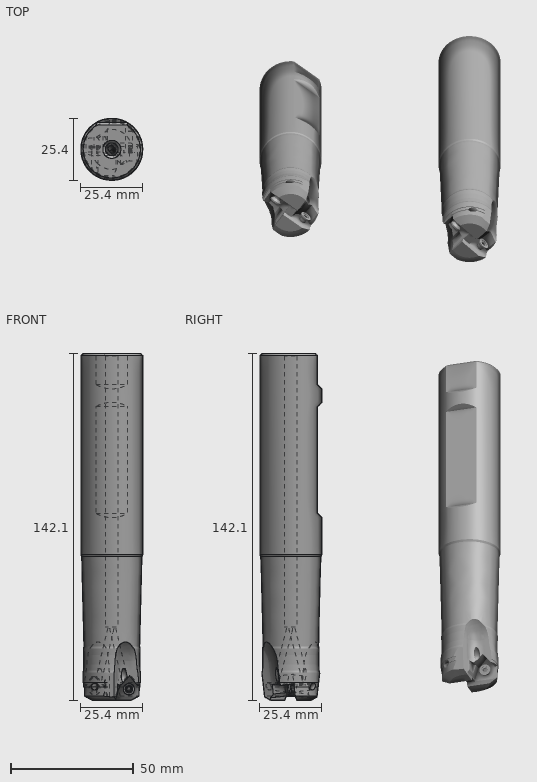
import cadquery as cq
import math

TOTAL_LENGTH = 142.07
SHANK_RADIUS = 12.7
SHANK_CHAMFER = 1.0
SHANK_BOTTOM_Z = 59.7

FLAT_Y = 10.9
FLAT_DEPTH = SHANK_RADIUS - FLAT_Y
TOP_FLAT_BOTTOM_Z = 129.3
LONG_FLAT_TOP_Z = 120.2
LONG_FLAT_BOTTOM_Z = 76.6

NECK_TOP_RADIUS = 12.35
NECK_TOP_Z = 58.85
NECK_BOTTOM_RADIUS = 11.42
NECK_BOTTOM_Z = 22.0
COLLAR_RADIUS = 11.65
COLLAR_TOP_Z = 21.1
WAIST_RADIUS = 11.5
WAIST_TOP_Z = 18.5
WAIST_BOTTOM_Z = 14.6
LOWER_COLLAR_Z = 12.1
HEAD_RADIUS = 11.85
HEAD_TOP_Z = 11.25
HEAD_BOTTOM_Z = 7.4
BAND_RADIUS = 11.6
BAND_BOTTOM_Z = 5.5
TIP_RADIUS = 11.35
END_BEVEL_Z = 1.8
END_FACE_RADIUS = 8.2

BORE_RADIUS = 2.6
BORE_BOTTOM_Z = 30.0
BORE_MOUTH_RADIUS = 3.7
COOLANT_RADIUS = 1.25
COOLANT_START = cq.Vector(0, 0, 31.0)
COOLANT_EXIT = cq.Vector(5.6, -6.2, 7.5)

FLUTE_COUNT = 2
SEAT_TILT = 6.5
SEAT_CENTRE_X = 7.0
SEAT_CENTRE_Z = 4.7
SEAT_Y = 1.5
SHARP_CORNER_RADIUS = 5.9
BLUNT_CORNER_RADIUS = 4.0
FIRST_CORNER_ANGLE = 87.0

SCREW_RADIUS = 1.4
SCREW_HEAD_RADIUS = 2.3
SCREW_HEAD_TOP_Y = -1.3
SCREW_RIM_HEIGHT = 0.6
SCREW_CONE_HEIGHT = SCREW_HEAD_RADIUS - SCREW_RADIUS
SCREW_DEPTH_IN_BODY = 6.0
DISH_RADIUS = 1.5
DISH_DEPTH = 0.3
SOCKET_RADIUS = 0.85
SOCKET_LOBE_RADIUS = 0.3
SOCKET_LOBES = 6
SOCKET_DEPTH = 1.2

FLUTE_WALL_OUTER_X = 0.2
FLUTE_WALL_INNER_X = 2.1
FLUTE_WALL_INNER_Y = -7.7
FLUTE_FLOOR_X = 8.2
FLUTE_FLOOR_Y = -4.2
FLUTE_CORNER_X = 5.1
FLUTE_CORNER_Y = -4.8
FLUTE_STRAIGHT_TOP_Z = 16.6
FLUTE_RUNOUT_RADIUS = 12.8
FLUTE_OUTER_Y = -13.2
LEDGE_Y = -2.3
POCKET_INNER_X = 2.3
POCKET_INNER_TOP_Z = 7.4
POCKET_OUTER_TOP_Z = 7.2
RELIEF_Y = -11.05
CLEAR = 15.0

END_SLOT_DEPTH = 1.6
END_SLOT_TOP_HALF_WIDTH = 1.85
END_SLOT_BOTTOM_HALF_WIDTH = 2.5


def tilt(shape):
    """Lean a shape about the X direction through the seat centre height."""
    return shape.rotate((0, 0, SEAT_CENTRE_Z), (1, 0, SEAT_CENTRE_Z), SEAT_TILT)


def around_axis(shape, index):
    return shape.rotate((0, 0, 0), (0, 0, 1), index * 360.0 / FLUTE_COUNT)


def facing_front(y):
    """Plane at the given Y that looks toward -Y; local axes are X and Z."""
    return cq.Workplane("XZ", origin=(0, y, 0))


def make_blank():
    profile = [
        (0, 0),
        (END_FACE_RADIUS, 0),
        (TIP_RADIUS, END_BEVEL_Z),
        (TIP_RADIUS, BAND_BOTTOM_Z),
        (BAND_RADIUS, BAND_BOTTOM_Z),
        (BAND_RADIUS, HEAD_BOTTOM_Z),
        (HEAD_RADIUS, HEAD_BOTTOM_Z),
        (HEAD_RADIUS, HEAD_TOP_Z),
        (COLLAR_RADIUS, LOWER_COLLAR_Z),
        (WAIST_RADIUS, WAIST_BOTTOM_Z),
        (WAIST_RADIUS, WAIST_TOP_Z),
        (COLLAR_RADIUS, COLLAR_TOP_Z),
        (NECK_BOTTOM_RADIUS, NECK_BOTTOM_Z),
        (NECK_TOP_RADIUS, NECK_TOP_Z),
        (SHANK_RADIUS, SHANK_BOTTOM_Z),
        (SHANK_RADIUS, TOTAL_LENGTH - SHANK_CHAMFER),
        (SHANK_RADIUS - SHANK_CHAMFER, TOTAL_LENGTH),
        (0, TOTAL_LENGTH),
    ]
    return cq.Workplane("XZ").polyline(profile).close().revolve(360, (0, 0), (0, 1))


def make_flats():
    """Two flats with 45 degree ends; the upper one runs off the chamfered shank top."""
    top_flat = [
        (FLAT_Y, TOP_FLAT_BOTTOM_Z),
        (SHANK_RADIUS, TOP_FLAT_BOTTOM_Z - FLAT_DEPTH),
        (SHANK_RADIUS, TOTAL_LENGTH),
        (FLAT_Y - SHANK_CHAMFER, TOTAL_LENGTH),
        (FLAT_Y, TOTAL_LENGTH - SHANK_CHAMFER),
    ]
    long_flat = [
        (FLAT_Y, LONG_FLAT_BOTTOM_Z),
        (SHANK_RADIUS, LONG_FLAT_BOTTOM_Z - FLAT_DEPTH),
        (SHANK_RADIUS, LONG_FLAT_TOP_Z + FLAT_DEPTH),
        (FLAT_Y, LONG_FLAT_TOP_Z),
    ]
    flats = cq.Workplane("YZ")
    for outline in (top_flat, long_flat):
        flats = flats.add(cq.Workplane("YZ").polyline(outline).close().extrude(CLEAR, both=True))
    return flats.combine()


def make_bore():
    mouth_depth = BORE_MOUTH_RADIUS - BORE_RADIUS
    profile = [
        (0, BORE_BOTTOM_Z),
        (BORE_RADIUS, BORE_BOTTOM_Z),
        (BORE_RADIUS, TOTAL_LENGTH - mouth_depth),
        (BORE_MOUTH_RADIUS, TOTAL_LENGTH),
        (0, TOTAL_LENGTH),
    ]
    return cq.Workplane("XZ").polyline(profile).close().revolve(360, (0, 0), (0, 1))


def make_coolant_branch():
    path = COOLANT_EXIT - COOLANT_START
    return cq.Workplane(cq.Solid.makeCylinder(COOLANT_RADIUS, path.Length, COOLANT_START, path))


def make_end_slot():
    outline = [
        (-END_SLOT_BOTTOM_HALF_WIDTH, 0),
        (END_SLOT_BOTTOM_HALF_WIDTH, 0),
        (END_SLOT_TOP_HALF_WIDTH, END_SLOT_DEPTH),
        (-END_SLOT_TOP_HALF_WIDTH, END_SLOT_DEPTH),
    ]
    return cq.Workplane("YZ").polyline(outline).close().extrude(CLEAR, both=True)


def flute_section(z):
    """Flute cross-section: side wall, rounded corner and flat floor open toward -Y."""
    return (
        cq.Workplane("XY", origin=(0, 0, z))
        .moveTo(FLUTE_WALL_OUTER_X, FLUTE_OUTER_Y)
        .lineTo(FLUTE_WALL_INNER_X, FLUTE_WALL_INNER_Y)
        .threePointArc((FLUTE_CORNER_X, FLUTE_CORNER_Y), (FLUTE_FLOOR_X, FLUTE_FLOOR_Y))
        .lineTo(CLEAR, FLUTE_FLOOR_Y)
        .lineTo(CLEAR, FLUTE_OUTER_Y)
        .close()
    )


def make_flute():
    """Straight flute whose floor sweeps out of the neck along an arc at its top."""
    straight = flute_section(-CLEAR).extrude(CLEAR + FLUTE_STRAIGHT_TOP_Z)
    pivot_y = FLUTE_FLOOR_Y - FLUTE_RUNOUT_RADIUS
    runout = flute_section(FLUTE_STRAIGHT_TOP_Z).revolve(90, (0, pivot_y), (1, pivot_y))
    return tilt(straight.union(runout))


def make_relief():
    """Flat relief beside the flute that runs out upward because of the tilt."""
    return tilt(
        facing_front(RELIEF_Y)
        .moveTo(-CLEAR, -CLEAR)
        .lineTo(FLUTE_WALL_INNER_X, -CLEAR)
        .lineTo(FLUTE_WALL_INNER_X, FLUTE_STRAIGHT_TOP_Z)
        .lineTo(-CLEAR, FLUTE_STRAIGHT_TOP_Z)
        .close()
        .extrude(CLEAR)
    )


def seat_corners():
    corners = []
    for step in range(6):
        radius = BLUNT_CORNER_RADIUS if step % 2 else SHARP_CORNER_RADIUS
        angle = math.radians(FIRST_CORNER_ANGLE + 60.0 * step)
        x = SEAT_CENTRE_X + radius * math.cos(angle)
        z = SEAT_CENTRE_Z + radius * math.sin(angle)
        corners.append((x, z))
    return corners


def pocket_prism(base_y, inner_corners):
    """Cut from base_y toward -Y, open downward and outward, bounded by the given inner corners."""
    outline = [
        *inner_corners,
        (inner_corners[-1][0], -CLEAR),
        (CLEAR, -CLEAR),
        (CLEAR, POCKET_OUTER_TOP_Z),
    ]
    return facing_front(base_y).polyline(outline).close().extrude(CLEAR)


def make_pocket():
    """Three-sided seat, a wider clearance in front of it, and the screw hole."""
    top, upper_left, lower_left, _, _, upper_right = seat_corners()
    seat = pocket_prism(SEAT_Y, [upper_right, top, upper_left, lower_left])
    clearance_inner_top = (POCKET_INNER_X, POCKET_INNER_TOP_Z)
    clearance = pocket_prism(LEDGE_Y, [upper_right, top, upper_left, clearance_inner_top])
    hole = (
        facing_front(SEAT_Y)
        .center(SEAT_CENTRE_X, SEAT_CENTRE_Z)
        .circle(SCREW_RADIUS)
        .extrude(-CLEAR)
    )
    return tilt(seat.union(clearance).union(hole))


def make_body():
    body = make_blank().cut(make_flats()).cut(make_bore()).cut(make_end_slot())
    for index in range(FLUTE_COUNT):
        for cutter in (make_flute(), make_relief(), make_pocket(), make_coolant_branch()):
            body = body.cut(around_axis(cutter, index))
    return body


def make_screw():
    """Screw with a straight shank, conical head, dished top and lobed socket."""
    rim_bottom_y = SCREW_HEAD_TOP_Y + SCREW_RIM_HEIGHT
    tip_y = SEAT_Y + SCREW_DEPTH_IN_BODY
    profile = [
        (0, SCREW_HEAD_TOP_Y + DISH_DEPTH),
        (DISH_RADIUS, SCREW_HEAD_TOP_Y + DISH_DEPTH),
        (DISH_RADIUS, SCREW_HEAD_TOP_Y),
        (SCREW_HEAD_RADIUS, SCREW_HEAD_TOP_Y),
        (SCREW_HEAD_RADIUS, rim_bottom_y),
        (SCREW_RADIUS, rim_bottom_y + SCREW_CONE_HEIGHT),
        (SCREW_RADIUS, tip_y),
        (0, tip_y),
    ]
    plane = cq.Workplane("XY", origin=(SEAT_CENTRE_X, 0, SEAT_CENTRE_Z))
    screw = plane.polyline(profile).close().revolve(360, (0, 0), (0, 1))
    face = facing_front(SCREW_HEAD_TOP_Y).center(SEAT_CENTRE_X, SEAT_CENTRE_Z)
    socket = face.circle(SOCKET_RADIUS).extrude(-SOCKET_DEPTH)
    lobes = (
        face.polarArray(SOCKET_RADIUS, 0, 360, SOCKET_LOBES)
        .circle(SOCKET_LOBE_RADIUS)
        .extrude(-SOCKET_DEPTH)
    )
    return tilt(screw.cut(socket).cut(lobes))


body = make_body()
screws = [around_axis(make_screw(), index).val() for index in range(FLUTE_COUNT)]
result = cq.Compound.makeCompound([body.val(), *screws])